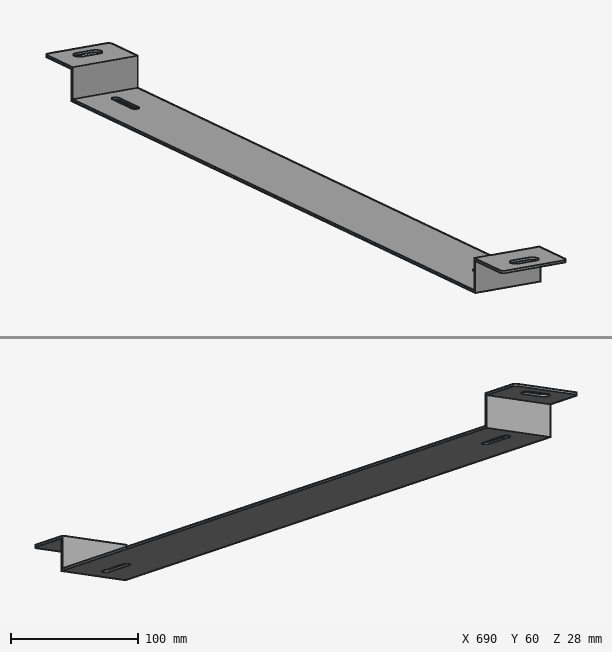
import cadquery as cq

length = 690.0
width = 60.0
height = 28.0
thickness = 2.0

flange_length = 42.0
corner_radius = 3.5

flange_slot_length = 25.0
flange_slot_width = 10.5
flange_slot_inset = 16.0

base_slot_length = 36.0
base_slot_width = 6.0
base_slot_inset = 72.5

half_length = length / 2
inner_wall_x = half_length - flange_length
outer_wall_x = inner_wall_x + thickness


def bent_strip():
    """Sheet profile with two raised flanges, extruded across the width."""
    right_half = [
        (outer_wall_x, 0),
        (outer_wall_x, height - thickness),
        (half_length, height - thickness),
        (half_length, height),
        (inner_wall_x, height),
        (inner_wall_x, thickness),
    ]
    left_half = [(-x, z) for x, z in reversed(right_half)]
    profile = cq.Workplane("XZ").polyline(right_half + left_half).close()
    strip = profile.extrude(width / 2, both=True)
    end_corners = strip.faces("<X or >X").edges("|Z")
    return end_corners.fillet(corner_radius)


def slot_pair(inset, slot_length, slot_width, angle):
    """Cutters for one slot near each end, running through the full height."""
    slot_x = half_length - inset
    return (
        cq.Workplane("XY")
        .pushPoints([(-slot_x, 0), (slot_x, 0)])
        .slot2D(slot_length, slot_width, angle)
        .extrude(height)
    )


flange_slots = slot_pair(flange_slot_inset, flange_slot_length, flange_slot_width, 90)
base_slots = slot_pair(base_slot_inset, base_slot_length, base_slot_width, 0)

result = bent_strip().cut(flange_slots).cut(base_slots)